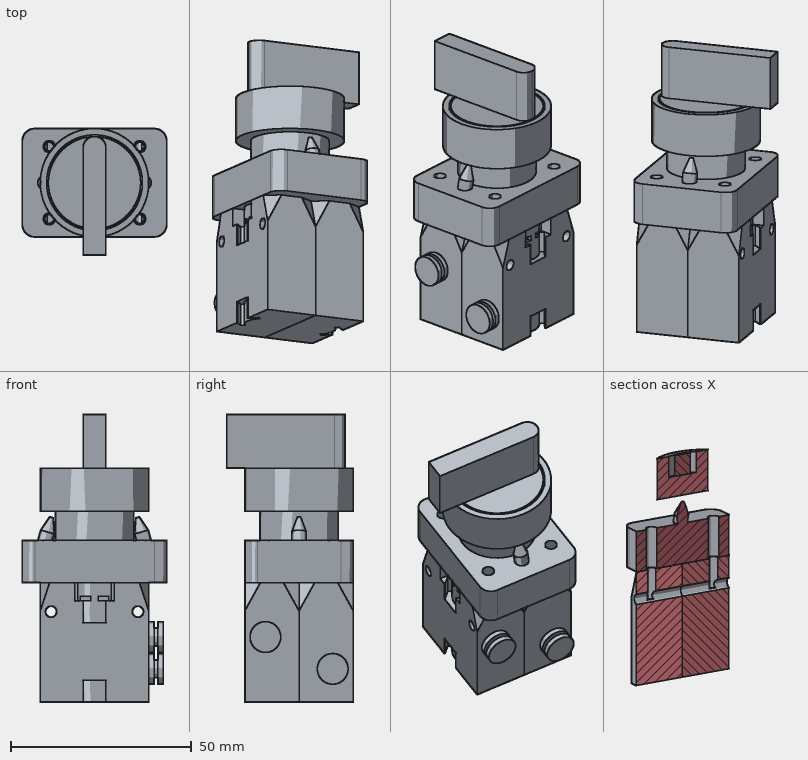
import cadquery as cq


block_height = 33.0
base_height = 11.7
collar_height = 8.0
bezel_height = 12.0
total_height = 79.5
base_top = block_height + base_height
collar_top = base_top + collar_height
bezel_top = collar_top + bezel_height

block_width = 30.0
block_depth = 15.0
corner_cut_x = 2.6
corner_cut_y = 4.3
corner_cut_z = 7.8

cross_hole_diameter = 3.0
cross_hole_x = 12.0
cross_hole_z = 25.0
block_screw_diameter = 2.45
block_screw_bottom_z = 24.0
base_screw_diameter = 3.25
screw_x = 12.5
screw_y = 10.0

recess_width = 10.8
recess_depth = 3.6
recess_floor_z = 28.0
post_diameter = 12.8
post_inset = 8.0
slot_width = 6.3
slot_lip = 0.3
slot_flare = 2.05
upper_slot_floor_z = 22.0
lower_slot_top_z = 6.0
notch_inner_x = 1.0
notch_outer_x = 4.1
notch_height = 1.3
notch_inset = 3.0

terminal_diameter = 8.5
terminal_neck_diameter = 5.0
terminal_disc_thickness = 1.5
terminal_neck_length = 1.0
terminal_y = 9.3
front_terminal_z = 18.0
rear_terminal_z = 9.2

base_width = 40.0
base_depth = 30.0
base_corner_radius = 3.5
pin_diameter = 4.0
pin_tip_diameter = 1.0
pin_x = 13.6
pin_tilt = 15.0
pin_shank_length = 2.4
pin_cone_length = 4.2
pin_root_length = 2.0

collar_diameter = 21.7
bezel_diameter = 30.0
bezel_bore_diameter = 26.5
knob_diameter = 25.5
knob_seat_depth = 6.0
handle_width = 6.25
handle_front_y = -20.0
handle_back_y = knob_diameter / 2
handle_end_radius = 3.0


def upright_box(x_min, x_max, y_min, y_max, z_min, z_max):
    size = (x_max - x_min, y_max - y_min, z_max - z_min)
    return cq.Workplane("XY").box(*size, centered=False).translate((x_min, y_min, z_min))


def upright_cylinder(diameter, x, y, z_min, z_max):
    return cq.Workplane("XY", origin=(x, y, z_min)).circle(diameter / 2).extrude(z_max - z_min)


def corner_cut(side, corner_y, inward):
    """Tetrahedron that bevels one upper corner of a block."""
    corner_x = side * block_width / 2
    top = [
        (corner_x, corner_y, block_height),
        (corner_x - side * corner_cut_x, corner_y, block_height),
        (corner_x, corner_y + inward * corner_cut_y, block_height),
    ]
    apex = (corner_x, corner_y, block_height - corner_cut_z)
    triangles = [top] + [[top[i], top[(i + 1) % 3], apex] for i in range(3)]
    faces = [cq.Face.makeFromWires(cq.Wire.makePolygon(points, close=True)) for points in triangles]
    return cq.Workplane(obj=cq.Solid.makeSolid(cq.Shell.makeShell(faces)))


def flared_slot(z_min, z_max):
    """Slot that widens at 45 degrees behind a thin lip and closes at 45 degrees inside the post."""
    face_y = -block_depth
    half_mouth = slot_width / 2
    half_wide = half_mouth + slot_flare
    lip_y = face_y + slot_lip
    wide_y = lip_y + slot_flare
    outline = [
        (-half_mouth, face_y),
        (half_mouth, face_y),
        (half_mouth, lip_y),
        (half_wide, wide_y),
        (0, wide_y + half_wide),
        (-half_wide, wide_y),
        (-half_mouth, lip_y),
    ]
    return cq.Workplane("XY", origin=(0, 0, z_min)).polyline(outline).close().extrude(z_max - z_min)


def block_recess():
    """Wide recess and two slots, less the post that stays in them."""
    face_y = -block_depth
    half_recess = recess_width / 2
    post = upright_cylinder(post_diameter, 0, face_y + post_inset, 0, block_height)
    for side in (-1, 1):
        x_min, x_max = sorted((side * notch_inner_x, side * notch_outer_x))
        notch = upright_box(
            x_min, x_max, face_y, face_y + notch_inset, recess_floor_z, recess_floor_z + notch_height
        )
        post = post.cut(notch)
    recess = upright_box(
        -half_recess, half_recess, face_y, face_y + recess_depth, recess_floor_z, block_height
    )
    recess = recess.union(flared_slot(upper_slot_floor_z, recess_floor_z))
    recess = recess.union(flared_slot(0, lower_slot_top_z))
    return recess.cut(post)


def terminal(z):
    """Two discs joined by a neck, on a +X axis."""
    neck_start = terminal_disc_thickness
    neck_end = neck_start + terminal_neck_length
    side_face = cq.Workplane("YZ", origin=(block_width / 2, -terminal_y, z))
    inner_disc = side_face.circle(terminal_diameter / 2).extrude(terminal_disc_thickness)
    neck = side_face.circle(terminal_neck_diameter / 2).extrude(neck_end)
    outer_disc = inner_disc.translate((neck_end, 0, 0))
    return inner_disc.union(neck).union(outer_disc)


def make_front_block(terminal_z):
    half_width = block_width / 2
    block = upright_box(-half_width, half_width, -block_depth, 0, 0, block_height)
    for side in (-1, 1):
        block = block.cut(corner_cut(side, -block_depth, 1))
        block = block.cut(corner_cut(side, 0, -1))
        cross_hole = (
            cq.Workplane("XZ", origin=(side * cross_hole_x, 0, cross_hole_z))
            .circle(cross_hole_diameter / 2)
            .extrude(block_depth)
        )
        block = block.cut(cross_hole)
        screw_hole = upright_cylinder(
            block_screw_diameter, side * screw_x, -screw_y, block_screw_bottom_z, block_height
        )
        block = block.cut(screw_hole)
    return block.cut(block_recess()).union(terminal(terminal_z))


def make_rear_block(terminal_z):
    """Mirror image of the front block, on the +Y side."""
    return make_front_block(terminal_z).mirror("XZ")


def locking_pin(side):
    """Cone-tipped pin that leans toward the collar and is rooted in the base."""
    shank_radius = pin_diameter / 2
    profile = [
        (0, -pin_root_length),
        (shank_radius, -pin_root_length),
        (shank_radius, pin_shank_length),
        (pin_tip_diameter / 2, pin_shank_length + pin_cone_length),
        (0, pin_shank_length + pin_cone_length),
    ]
    pin = cq.Workplane("XZ").polyline(profile).close().revolve(360, (0, 0), (0, 1))
    pin = pin.rotate((0, 0, 0), (0, 1, 0), -side * pin_tilt)
    return pin.translate((side * pin_x, 0, base_top))


def make_base():
    base = (
        cq.Workplane("XY", origin=(0, 0, block_height))
        .rect(base_width, base_depth)
        .extrude(base_height)
        .edges("|Z")
        .fillet(base_corner_radius)
    )
    for side in (-1, 1):
        for y in (-screw_y, screw_y):
            base = base.cut(upright_cylinder(base_screw_diameter, side * screw_x, y, block_height, base_top))
        base = base.union(locking_pin(side))
    return base


def make_collar():
    return upright_cylinder(collar_diameter, 0, 0, base_top, collar_top)


def make_bezel():
    bezel = upright_cylinder(bezel_diameter, 0, 0, collar_top, bezel_top)
    seat = upright_cylinder(bezel_bore_diameter, 0, 0, bezel_top - knob_seat_depth, bezel_top)
    return bezel.cut(seat)


def make_knob():
    """Disc in the bezel seat with a handle across it, rounded at the back end."""
    disc = upright_cylinder(knob_diameter, 0, 0, bezel_top - knob_seat_depth, bezel_top)
    half_width = handle_width / 2
    handle = upright_box(-half_width, half_width, handle_front_y, handle_back_y, bezel_top, total_height)
    handle = handle.edges("|Z and >Y").fillet(handle_end_radius)
    return disc.union(handle)


contact_blocks = [make_front_block(front_terminal_z), make_rear_block(rear_terminal_z)]
base = make_base()
collar = make_collar()
bezel = make_bezel()
knob = make_knob()

result = cq.Compound.makeCompound(
    [
        *[block.val() for block in contact_blocks],
        base.val(),
        collar.val(),
        bezel.val(),
        knob.val(),
    ]
)